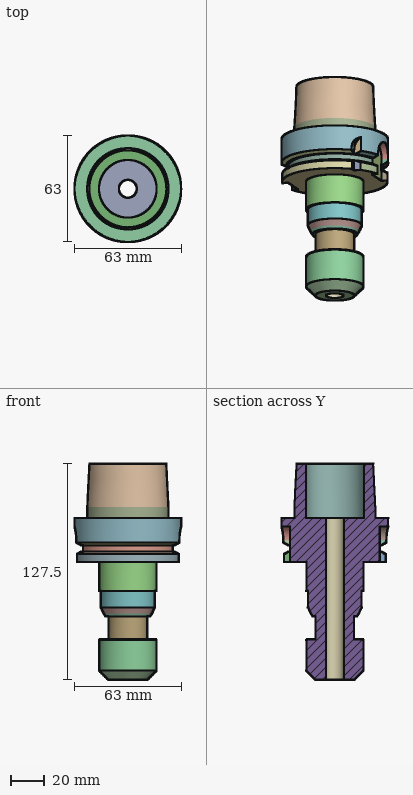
import cadquery as cq
import math


taper_height = 32.0
taper_base_radius = 24.0
taper_start_height = 6.4
taper_slope = 1 / 20
taper_tip_radius = taper_base_radius - taper_slope * (taper_height - taper_start_height)

flange_radius = 31.5
lower_rim_radius = 31.1
flange_thickness = 26.0
groove_floor_radius = 27.5
groove_center_depth = 18.0
groove_mouth_width = 7.0
groove_floor_width = 3.75
flank_slope = math.tan(math.radians(30))
flank_foot_radius = flange_radius - (groove_mouth_width - groove_floor_width) / 2 / flank_slope
mouth_top_depth = groove_center_depth - groove_mouth_width / 2
floor_top_depth = groove_center_depth - groove_floor_width / 2
floor_bottom_depth = groove_center_depth + groove_floor_width / 2
mouth_bottom_depth = floor_bottom_depth + flank_slope * (lower_rim_radius - flank_foot_radius)

shank_radius = 17.0
shank_depth = 43.0
nut_radius = 16.0
nut_cone_depth = 52.7
nut_edge_radius = 14.2
nut_edge_depth = 56.5
nut_face_radius = 13.2
nut_face_depth = 58.0

neck_radius = 11.5
collar_radius = 17.0
collar_top_depth = 71.5
collar_top_chamfer = 0.5
collar_cone_depth = 90.0
collar_tip_radius = 11.5
total_depth = 95.5

bore_radius = 17.0
bore_depth = 32.0
through_radius = 5.2

slot_radius = 8.0
slot_arc_depth = 13.1
drive_slot_floor = 26.5
corner_notch_floor = 20.0


def make_body():
    """Revolve the whole outer profile about Z."""
    profile = [
        (0, taper_height),
        (taper_tip_radius, taper_height),
        (taper_base_radius, taper_start_height),
        (taper_base_radius, 0),
        (flange_radius, 0),
        (flange_radius, -mouth_top_depth),
        (flank_foot_radius, -floor_top_depth),
        (groove_floor_radius, -floor_top_depth),
        (groove_floor_radius, -floor_bottom_depth),
        (flank_foot_radius, -floor_bottom_depth),
        (lower_rim_radius, -mouth_bottom_depth),
        (lower_rim_radius, -flange_thickness),
        (shank_radius, -flange_thickness),
        (shank_radius, -shank_depth),
        (nut_radius, -shank_depth),
        (nut_radius, -nut_cone_depth),
        (nut_edge_radius, -nut_edge_depth),
        (nut_face_radius, -nut_face_depth),
        (neck_radius, -nut_face_depth),
        (neck_radius, -collar_top_depth),
        (collar_radius - collar_top_chamfer, -collar_top_depth),
        (collar_radius, -collar_top_depth - collar_top_chamfer),
        (collar_radius, -collar_cone_depth),
        (collar_tip_radius, -total_depth),
        (0, -total_depth),
    ]
    return cq.Workplane("XZ").polyline(profile).close().revolve(360, (0, 0), (0, 1))


def make_bores():
    """Wide bore in the taper and the narrow hole through the full length."""
    wide_bore = (
        cq.Workplane("XY").workplane(offset=taper_height).circle(bore_radius).extrude(-bore_depth)
    )
    through_hole = (
        cq.Workplane("XY")
        .workplane(offset=-total_depth)
        .circle(through_radius)
        .extrude(total_depth + taper_height)
    )
    return wide_bore.union(through_hole)


def make_slot_cutter(floor_distance, side_offset):
    """Slot facing +Y, open at the flange underside, with a half-round top."""
    return (
        cq.Workplane("XZ", origin=(side_offset, floor_distance, 0))
        .moveTo(-slot_radius, -flange_thickness)
        .lineTo(-slot_radius, -slot_arc_depth)
        .threePointArc((0, slot_radius - slot_arc_depth), (slot_radius, -slot_arc_depth))
        .lineTo(slot_radius, -flange_thickness)
        .close()
        .extrude(floor_distance - flange_radius)
    )


result = make_body().cut(make_bores())

for turn in (90, -90):
    drive_slot = make_slot_cutter(drive_slot_floor, 0).rotate((0, 0, 0), (0, 0, 1), turn)
    result = result.cut(drive_slot)

corner_notch = make_slot_cutter(corner_notch_floor, -corner_notch_floor - slot_radius)
result = result.cut(corner_notch)